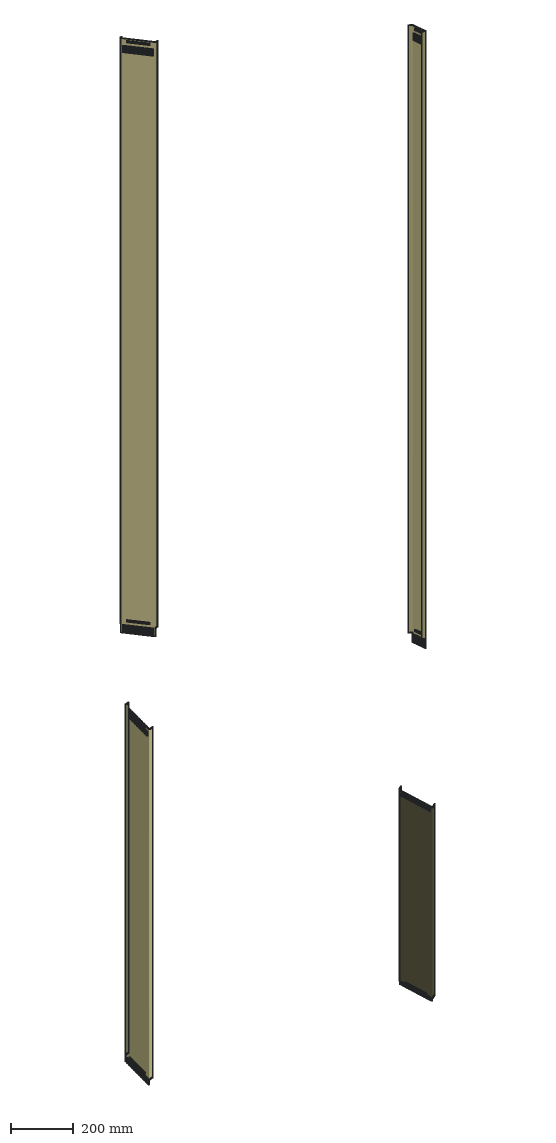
import cadquery as cq

length = 2000.0
width = 125.0
depth = 15.0
sheet = 1.5
bend_radius = 2 * sheet

tongue_length = 30.0
tongue_width = width - 2 * bend_radius

slot_length = 78.0
slot_height = 5.0
top_slot_drop = 10.0

emboss_rise = 15.0
slot_to_emboss = 25.0
emboss_length = 105.0
emboss_height = 22.0
emboss_depth = sheet
emboss_slope = 5.0
emboss_slot_length = 85.0
emboss_slot_height = 5.0

front_y = -depth / 2
back_y = depth / 2
emboss_levels = [emboss_rise, length - top_slot_drop - slot_to_emboss]
slot_levels = [level + slot_to_emboss for level in emboss_levels]


def block(x_size, y_min, z_min, z_max):
    """Block centred on X, reaching from y_min to the tips of the flanges."""
    return (
        cq.Workplane("XY", origin=(0, y_min, z_min))
        .box(x_size, back_y - y_min, z_max - z_min, centered=(True, False, False))
    )


def channel():
    """Bent sheet: a U section running along Z."""
    outside = block(width, front_y, 0, length).edges("|Z and <Y").fillet(bend_radius)
    inside = block(width - 2 * sheet, front_y + sheet, 0, length)
    inside = inside.edges("|Z and <Y").fillet(bend_radius - sheet)
    return outside.cut(inside)


def tongue_relief():
    """Material beside the tongue: the lower ends of the flanges and bends."""
    full_width = block(width, front_y, 0, tongue_length)
    return full_width.cut(block(tongue_width, front_y, 0, tongue_length))


def emboss_frustum(level, start_y):
    """Tapered block of an embossed panel, narrowing towards +Y from start_y."""
    return (
        cq.Workplane("XZ", origin=(0, start_y, level))
        .rect(emboss_length, emboss_height)
        .workplane(offset=-emboss_depth)
        .rect(emboss_length - 2 * emboss_slope, emboss_height - 2 * emboss_slope)
        .loft(ruled=True)
    )


def slot_cutter(slot_x, slot_z, level):
    """Rectangular slot through the web, centred at the given height."""
    return block(slot_x, front_y, level - slot_z / 2, level + slot_z / 2)


result = channel().cut(tongue_relief())

for level in emboss_levels:
    result = result.union(emboss_frustum(level, front_y + sheet))
    result = result.cut(emboss_frustum(level, front_y))
    result = result.cut(slot_cutter(emboss_slot_length, emboss_slot_height, level))

for level in slot_levels:
    result = result.cut(slot_cutter(slot_length, slot_height, level))